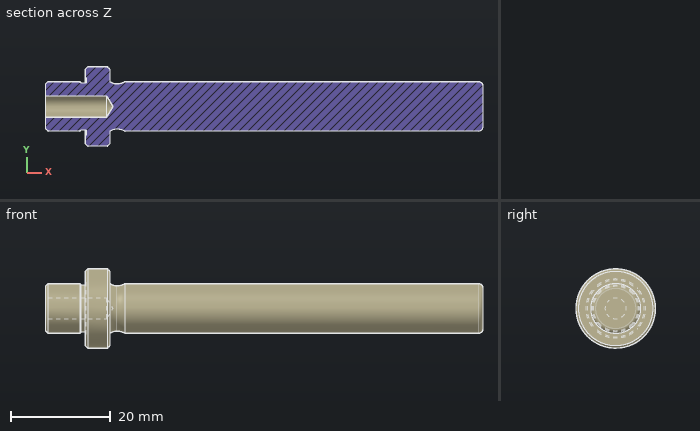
import cadquery as cq
import math

total_length = 88.0
relief_start = 6.95
flange_start = 8.0
flange_end = 13.0
neck_bottom = 14.3
shaft_start = 16.0

body_radius = 10.0 / 2
flange_radius = 16.0 / 2
neck_depth = 0.4
neck_radius = body_radius - neck_depth

relief_depth = 0.3
relief_ramp = 0.3
face_relief_depth = 0.2
face_relief_radius = 6.0
face_relief_ramp = 0.3

stub_chamfer = 0.5
flange_chamfer = 0.5
shaft_end_fillet = 1.0

hole_radius = 4.2 / 2
hole_depth = 12.3
drill_point_angle = 118.0


def neck_arc_point(end):
    """Point between the neck bottom and end, on an arc that runs parallel to X at the bottom."""
    half_run = (end[0] - neck_bottom) / 2
    arc_radius = (4 * half_run**2 + neck_depth**2) / (2 * neck_depth)
    rise = arc_radius - math.sqrt(arc_radius**2 - half_run**2)
    return (neck_bottom + half_run, neck_radius + rise)


def turned_body():
    """Stub, relieved corner, flange, concave neck and shaft, revolved about X."""
    relief_radius = body_radius - relief_depth
    relief_end = flange_start + face_relief_depth
    neck_foot = (flange_end, body_radius)
    neck_low = (neck_bottom, neck_radius)
    neck_top = (shaft_start, body_radius)
    profile = (
        cq.Workplane("XY")
        .moveTo(0, 0)
        .lineTo(0, body_radius - stub_chamfer)
        .lineTo(stub_chamfer, body_radius)
        .lineTo(relief_start, body_radius)
        .lineTo(relief_start + relief_ramp, relief_radius)
        .lineTo(relief_end, relief_radius)
        .lineTo(relief_end, face_relief_radius - face_relief_ramp)
        .lineTo(flange_start, face_relief_radius)
        .lineTo(flange_start, flange_radius - flange_chamfer)
        .lineTo(flange_start + flange_chamfer, flange_radius)
        .lineTo(flange_end - flange_chamfer, flange_radius)
        .lineTo(flange_end, flange_radius - flange_chamfer)
        .lineTo(*neck_foot)
        .threePointArc(neck_arc_point(neck_foot), neck_low)
        .threePointArc(neck_arc_point(neck_top), neck_top)
        .lineTo(total_length, body_radius)
        .lineTo(total_length, 0)
        .close()
    )
    body = profile.revolve(360, (0, 0, 0), (1, 0, 0))
    return body.faces(">X").edges().fillet(shaft_end_fillet)


def drilled_hole():
    """Blind hole with a conical bottom, opening at the stub end."""
    point_length = hole_radius / math.tan(math.radians(drill_point_angle / 2))
    return (
        cq.Workplane("XY")
        .moveTo(0, 0)
        .lineTo(0, hole_radius)
        .lineTo(hole_depth, hole_radius)
        .lineTo(hole_depth + point_length, 0)
        .close()
        .revolve(360, (0, 0, 0), (1, 0, 0))
    )


result = turned_body().cut(drilled_hole())